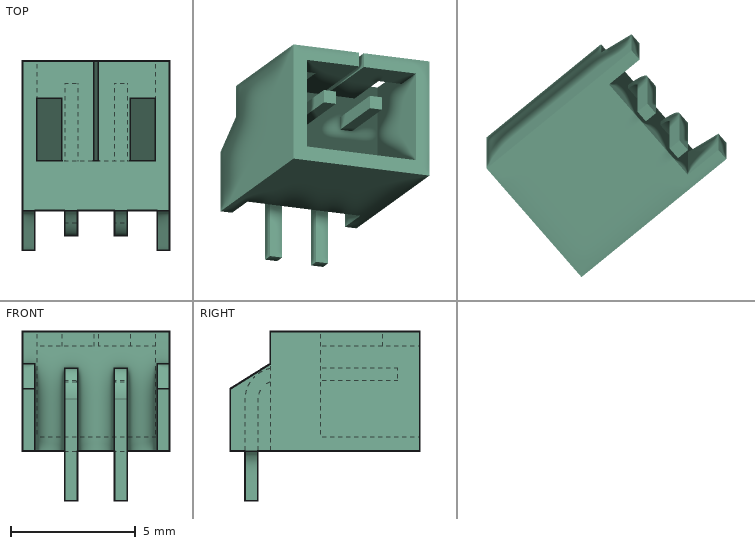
import cadquery as cq


housing_width = 5.9
housing_length = 6.0
housing_height = 4.8
wall = 0.58
cavity_depth = 4.0
cavity_width = housing_width - 2 * wall
cavity_height = housing_height - 2 * wall
cavity_back_y = housing_length - cavity_depth

window_width = 1.0
window_length = 2.5
window_offset_x = (cavity_width - window_width) / 2
slot_width = 0.2

ear_thickness = 0.5
ear_length = 1.6
ear_root_height = 3.5
ear_tip_height = 2.5

pin_pitch = 2.0
pin_count = 2
pin_size = 0.52
pin_top_z = 3.35
pin_reach = 1.01
pin_tail_z = -2.0
pin_tip_inset = 0.9
pin_tip_y = housing_length - pin_tip_inset
bend_outer_radius = 1.25
bend_inner_radius = bend_outer_radius - pin_size


def make_box(width, length, height, x_center, y_start, z_start):
    """Box centred on x_center, growing toward +Y and +Z from its start corner."""
    box = cq.Workplane("XY").box(width, length, height, centered=(True, False, False))
    return box.translate((x_center, y_start, z_start))


def make_housing():
    """Shell closed at the rear and open at the +Y mouth, with two windows and a slot in the roof."""
    roof_z = housing_height - wall
    shell = make_box(housing_width, housing_length, housing_height, 0, 0, 0)
    shell = shell.cut(make_box(cavity_width, cavity_depth, cavity_height, 0, cavity_back_y, wall))
    for side in (-1, 1):
        window_x = side * window_offset_x
        shell = shell.cut(make_box(window_width, window_length, wall, window_x, cavity_back_y, roof_z))
    return shell.cut(make_box(slot_width, cavity_depth, wall, 0, cavity_back_y, roof_z))


def make_ear(x_start):
    """Sloped-top plate behind the housing, growing toward +X from x_start."""
    profile = [(0, 0), (-ear_length, 0), (-ear_length, ear_tip_height), (0, ear_root_height)]
    return cq.Workplane("YZ", origin=(x_start, 0, 0)).polyline(profile).close().extrude(ear_thickness)


def make_pin(x_center):
    """Square pin running along Y through the rear wall and bent down to its tail."""
    outer_y = -pin_reach
    inner_y = outer_y + pin_size
    under_z = pin_top_z - pin_size
    bend_y = outer_y + bend_outer_radius
    bend_z = pin_top_z - bend_outer_radius
    return (
        cq.Workplane("YZ", origin=(x_center, 0, 0))
        .moveTo(pin_tip_y, pin_top_z)
        .lineTo(bend_y, pin_top_z)
        .radiusArc((outer_y, bend_z), -bend_outer_radius)
        .lineTo(outer_y, pin_tail_z)
        .lineTo(inner_y, pin_tail_z)
        .lineTo(inner_y, bend_z)
        .radiusArc((bend_y, under_z), bend_inner_radius)
        .lineTo(pin_tip_y, under_z)
        .close()
        .extrude(pin_size / 2, both=True)
    )


result = make_housing()
for ear_x in (-housing_width / 2, housing_width / 2 - ear_thickness):
    result = result.union(make_ear(ear_x))
for index in range(pin_count):
    pin_x = (index - (pin_count - 1) / 2) * pin_pitch
    result = result.union(make_pin(pin_x))